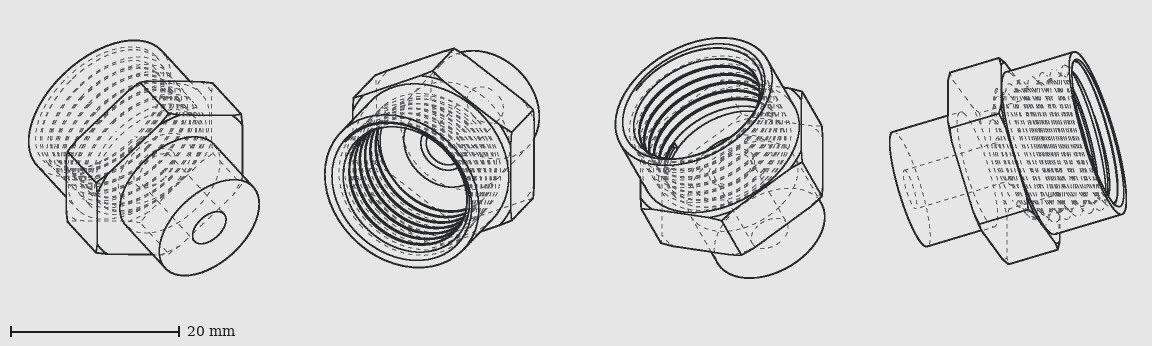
import cadquery as cq
import math

BODY_LENGTH = 8.48
HEX_LENGTH = 6.7
SPIGOT_LENGTH = 8.48
BODY_DIAMETER = 20.1
SPIGOT_DIAMETER = 14.2
HEX_SIDES = 6
HEX_ACROSS_FLATS = 20.6
TOTAL_LENGTH = BODY_LENGTH + HEX_LENGTH + SPIGOT_LENGTH
HEX_ACROSS_CORNERS = HEX_ACROSS_FLATS / math.cos(math.pi / HEX_SIDES)

HEX_CHAMFER_DIAMETER = 22.3
HEX_CHAMFER_ANGLE = 20
CORNER_CLEARANCE = 1

MOUTH_DIAMETER = 18.2
MOUTH_CHAMFER_SLOPE = 1
CREST_DIAMETER = 15.8
TAPER = 1 / 16
SOCKET_DEPTH = 10.36
SOCKET_FLOOR_DIAMETER = 10.3
SOCKET_FLOOR_ANGLE = 31

THREAD_PITCH = 25.4 / 18
THREAD_DEPTH = 1.03
THREAD_ANGLE = 60
THREAD_OVERLAP = 0.15
THREAD_START_DEPTH = 10.05
THREAD_START_ANGLE = math.radians(146)
THREAD_OVERRUN = THREAD_PITCH

HOLE_DIAMETER = 4.76
HOLE_MOUTH_DIAMETER = 5.85
HOLE_CHAMFER_ANGLE = 31


def crest_radius(depth):
    """Radius of the tapered bore at a depth below the mouth."""
    return (CREST_DIAMETER - TAPER * depth) / 2


def revolve_about_x(points):
    """Solid of revolution about X from (x, radius) points."""
    return cq.Workplane("XY").polyline(points).close().revolve(360, (0, 0, 0), (1, 0, 0))


def cylinder_x(start, length, diameter):
    """Cylinder along X from a starting X."""
    return cq.Workplane("YZ", origin=(start, 0, 0)).circle(diameter / 2).extrude(length)


def make_hexagon():
    """Hexagon with corners up and down, chamfered at both ends."""
    hexagon = (
        cq.Workplane("YZ", origin=(BODY_LENGTH, 0, 0))
        .polygon(HEX_SIDES, HEX_ACROSS_CORNERS)
        .extrude(HEX_LENGTH)
        .rotate((0, 0, 0), (1, 0, 0), 180 / HEX_SIDES)
    )
    start = BODY_LENGTH
    end = BODY_LENGTH + HEX_LENGTH
    face_radius = HEX_CHAMFER_DIAMETER / 2
    outer_radius = HEX_ACROSS_CORNERS / 2 + CORNER_CLEARANCE
    run = (outer_radius - face_radius) * math.tan(math.radians(HEX_CHAMFER_ANGLE))
    envelope = revolve_about_x([
        (start, 0),
        (start, face_radius),
        (start + run, outer_radius),
        (end - run, outer_radius),
        (end, face_radius),
        (end, 0),
    ])
    return hexagon.intersect(envelope)


def make_socket():
    """Plain tapered bore, its conical floor and the through hole."""
    end_radius = crest_radius(SOCKET_DEPTH)
    floor_radius = SOCKET_FLOOR_DIAMETER / 2
    floor_run = (end_radius - floor_radius) * math.tan(math.radians(SOCKET_FLOOR_ANGLE))
    floor_depth = SOCKET_DEPTH + floor_run
    hole_radius = HOLE_DIAMETER / 2
    hole_mouth_radius = HOLE_MOUTH_DIAMETER / 2
    hole_chamfer = (hole_mouth_radius - hole_radius) * math.tan(math.radians(HOLE_CHAMFER_ANGLE))
    mouth_radius = MOUTH_DIAMETER / 2
    mouth_depth = (mouth_radius - crest_radius(0)) / (MOUTH_CHAMFER_SLOPE - TAPER / 2)
    return revolve_about_x([
        (0, 0),
        (0, mouth_radius),
        (mouth_depth, crest_radius(mouth_depth)),
        (SOCKET_DEPTH, end_radius),
        (floor_depth, floor_radius),
        (floor_depth, hole_mouth_radius),
        (floor_depth + hole_chamfer, hole_radius),
        (TOTAL_LENGTH, hole_radius),
        (TOTAL_LENGTH, 0),
    ])


def make_thread_groove():
    """Right-hand V groove, swept from the deep end out past the mouth."""
    start_radius = crest_radius(THREAD_START_DEPTH)
    half_width = THREAD_DEPTH * math.tan(math.radians(THREAD_ANGLE / 2))
    helix = cq.Wire.makeHelix(
        THREAD_PITCH,
        THREAD_START_DEPTH + THREAD_OVERRUN,
        start_radius,
        angle=math.degrees(math.atan(TAPER / 2)),
    )
    groove = (
        cq.Workplane("XZ")
        .polyline([
            (start_radius - THREAD_OVERLAP, -half_width),
            (start_radius, -half_width),
            (start_radius + THREAD_DEPTH, 0),
            (start_radius, half_width),
            (start_radius - THREAD_OVERLAP, half_width),
        ])
        .close()
        .sweep(cq.Workplane(helix), isFrenet=True)
    )
    start_direction = (0, -math.cos(THREAD_START_ANGLE), math.sin(THREAD_START_ANGLE))
    placement = cq.Plane((THREAD_START_DEPTH, 0, 0), start_direction, (-1, 0, 0))
    placed_groove = cq.Workplane(groove.val().moved(cq.Location(placement)))
    bore_range = cylinder_x(-THREAD_OVERRUN, SOCKET_DEPTH + THREAD_OVERRUN, BODY_DIAMETER)
    return placed_groove.intersect(bore_range)


body = cylinder_x(0, BODY_LENGTH, BODY_DIAMETER)
spigot = cylinder_x(BODY_LENGTH + HEX_LENGTH, SPIGOT_LENGTH, SPIGOT_DIAMETER)
blank = body.union(make_hexagon()).union(spigot)
result = blank.cut(make_socket()).cut(make_thread_groove())